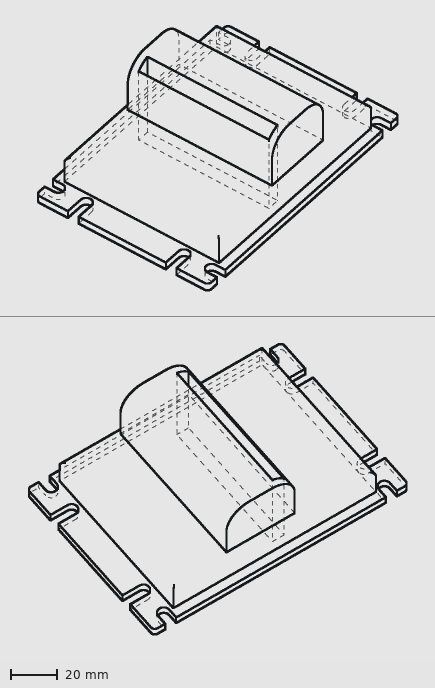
import cadquery as cq

plate_width = 93.0
plate_length = 134.0
plate_thickness = 4.0
plate_corner_radius = 2.0

slot_width = 5.8
end_slot_depth = 11.9
end_slot_offset = 26.4
side_slot_depth = 8.0
side_slot_inset = 9.0

cover_width = 83.5
cover_length = 106.5
cover_top = 17.5
cover_edge_radius = 2.0

housing_width = 77.9
housing_length = 35.9
housing_centre_y = 5.4
housing_top = 44.5
housing_radius = 12.0

opening_width = 70.2
opening_length = 6.2
opening_centre_y = -6.7


def block(width, length, bottom, top, centre_y=0):
    """Box centred on X, spanning the given heights."""
    return (
        cq.Workplane("XY", origin=(0, centre_y, bottom))
        .rect(width, length)
        .extrude(top - bottom)
    )


def open_slot(edge_x, edge_y, depth, angle):
    """Round-ended cutter reaching depth inside the plate edge."""
    cutter_length = 2 * depth
    return (
        cq.Workplane("XY")
        .center(edge_x, edge_y)
        .slot2D(cutter_length, slot_width, angle)
        .extrude(plate_thickness)
    )


def mounting_plate():
    plate = block(plate_width, plate_length, 0, plate_thickness)
    plate = plate.edges("|Z").fillet(plate_corner_radius)
    for side_x in (-1, 1):
        for side_y in (-1, 1):
            end_y = side_y * plate_length / 2
            side_slot_y = side_y * (plate_length / 2 - side_slot_inset)
            plate = plate.cut(open_slot(side_x * end_slot_offset, end_y, end_slot_depth, 90))
            plate = plate.cut(open_slot(side_x * plate_width / 2, side_slot_y, side_slot_depth, 0))
    return plate


def cover():
    body = block(cover_width, cover_length, plate_thickness, cover_top)
    return body.faces(">Z").edges().fillet(cover_edge_radius)


def housing():
    body = block(housing_width, housing_length, cover_top, housing_top, housing_centre_y)
    return body.faces(">Z").edges("|X").fillet(housing_radius)


opening = block(opening_width, opening_length, 0, housing_top, opening_centre_y)
result = mounting_plate().union(cover()).union(housing()).cut(opening)